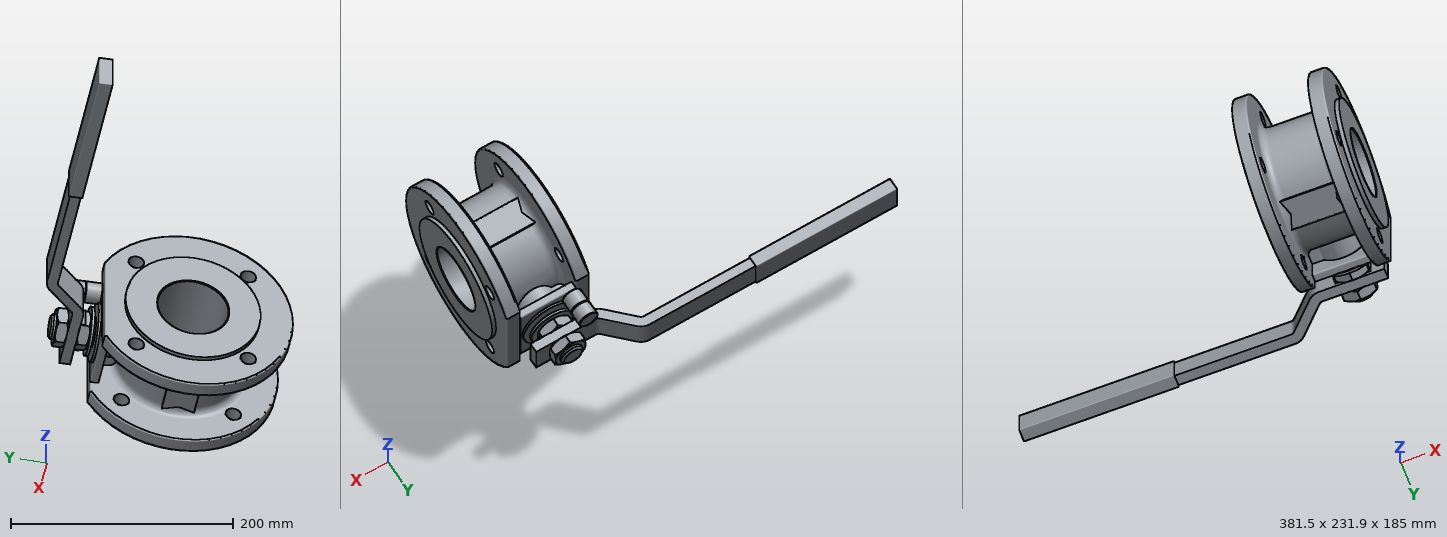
import cadquery as cq
import math


body_length = 96.0
bore_diameter = 65.0
bore_chamfer = 0.8
barrel_radius = 58.5
barrel_fillet = 7.2

flange_diameter = 185.0
flange_inner_face = 29.5
flange_thickness = 14.5
flange_edge_fillet = 1.5
flange_flat_height = 80.0
raised_face_diameter = 123.5
bolt_hole_diameter = 14.0
bolt_circle_diameter = 145.0
bolt_count = 4

pad_width = 29.8

mount_plate_thickness = 8.0
mount_plate_width = 68.5
mount_plate_fillet = 1.5
mount_web_thickness = 21.5
mount_neck_diameter = 41.2
mount_neck_fillet = 1.5

gland_diameter = 55.0
gland_top = 82.5
spindle_diameter = 27.5
washer_diameter = 45.0
washer_bottom = 85.0
washer_thickness = 2.5
nut_across_flats = 31.5
nut_chamfer_radial = 2.3
nut_chamfer_angle = 30.0
upper_nut_height = 10.3
lock_tab_thickness = 1.0
lock_tab_height = 5.5
stem_diameter = 23.0
stem_top = 122.5
stem_chamfer = 2.0

pin_offset_x = -24.8
pin_offset_z = 24.5
pin_diameter = 19.5
pin_joint_height = 95.5
pin_top = 109.5
pin_chamfer = 0.57

lever_width = 29.8
lever_thickness = 10.0
lever_low_bottom = 98.0
lever_high_bottom = 128.0
lever_right_end = 30.0
crank_corner_x = -69.5
crank_angle = 45.0
bend_inner_radius = 5.0
grip_wall = 1.35
grip_left_end = -333.5
grip_right_end = -184.0
grip_edge_fillet = 0.8

flange_outer_face = flange_inner_face + flange_thickness
washer_top = washer_bottom + washer_thickness
lever_low_top = lever_low_bottom + lever_thickness


def x_cylinder(diameter, start, length):
    return cq.Workplane("YZ").workplane(offset=start).circle(diameter / 2).extrude(length)


def stem_plane(height, x=0, z=0):
    """Plane facing +Y at the given height, with its local x along X."""
    return cq.Workplane(cq.Plane(origin=(x, height, z), xDir=(1, 0, 0), normal=(0, 1, 0)))


def stem_cylinder(diameter, bottom, top, x=0, z=0):
    return stem_plane(bottom, x, z).circle(diameter / 2).extrude(top - bottom)


def make_barrel():
    """Turned barrel that flares into both flanges."""
    flare_start = flange_inner_face - barrel_fillet
    flare_radius = barrel_radius + barrel_fillet
    drop = barrel_fillet * math.sin(math.radians(45))
    flare_mid = (flare_start + drop, flare_radius - drop)
    return (
        cq.Workplane("XY")
        .moveTo(-flange_inner_face, 0)
        .lineTo(-flange_inner_face, flare_radius)
        .threePointArc((-flare_mid[0], flare_mid[1]), (-flare_start, barrel_radius))
        .lineTo(flare_start, barrel_radius)
        .threePointArc(flare_mid, (flange_inner_face, flare_radius))
        .lineTo(flange_inner_face, 0)
        .close()
        .revolve(360, (0, 0, 0), (1, 0, 0))
    )


def make_flange():
    """Right-hand flange with its raised face and the flat on the stem side."""
    flange = x_cylinder(flange_diameter, flange_inner_face, flange_thickness)
    above_flat = cq.Workplane("XY").box(
        body_length, flange_diameter, flange_diameter, centered=(True, False, True)
    ).translate((flange_outer_face, flange_flat_height, 0))
    raised_face = x_cylinder(raised_face_diameter, flange_inner_face, body_length / 2 - flange_inner_face)
    return flange.cut(above_flat).faces("<X or >X").edges().fillet(flange_edge_fillet).union(raised_face)


def make_pads():
    return cq.Workplane("XY").box(2 * flange_inner_face, pad_width, 2 * barrel_radius)


def make_stem_mount():
    """Plate flush with the flange flats, carried by a web and a round neck."""
    span = 2 * flange_inner_face
    plate_bottom = flange_flat_height - mount_plate_thickness
    plate = stem_plane(plate_bottom).rect(span, mount_plate_width).extrude(mount_plate_thickness)
    plate = plate.edges("|X").fillet(mount_plate_fillet)
    web = stem_plane(0).rect(span, mount_web_thickness).extrude(plate_bottom)
    neck = stem_cylinder(mount_neck_diameter, 0, plate_bottom)
    web_and_neck = web.union(neck)
    neck_corners = cq.selectors.BoxSelector(
        (-mount_neck_diameter / 2, 0, -mount_web_thickness),
        (mount_neck_diameter / 2, plate_bottom, mount_web_thickness),
    )
    web_and_neck = web_and_neck.edges("|Y").edges(neck_corners).fillet(mount_neck_fillet)
    return plate.union(web_and_neck)


def make_nut(bottom, top):
    """Hexagonal nut with corners on Z and chamfered corners at both ends."""
    across_corners = nut_across_flats / math.cos(math.radians(30))
    height = top - bottom
    nut = stem_plane(bottom).transformed(rotate=(0, 0, 90)).polygon(6, across_corners).extrude(height)
    corner_radius = across_corners / 2
    end_radius = corner_radius - nut_chamfer_radial
    chamfer_height = nut_chamfer_radial * math.tan(math.radians(nut_chamfer_angle))
    chamfered_blank = (
        cq.Workplane("XY")
        .polyline([
            (0, bottom),
            (end_radius, bottom),
            (corner_radius, bottom + chamfer_height),
            (corner_radius, top - chamfer_height),
            (end_radius, top),
            (0, top),
        ])
        .close()
        .revolve(360, (0, 0, 0), (0, 1, 0))
    )
    return nut.intersect(chamfered_blank)


def make_lock_tabs():
    """Thin tabs lying on the two X-facing flats of the lower nut, just under the lever."""
    face_width = nut_across_flats * math.tan(math.radians(30))
    span = nut_across_flats + 2 * lock_tab_thickness
    return stem_plane(lever_low_bottom - lock_tab_height).rect(span, face_width).extrude(lock_tab_height)


def make_stem_stack():
    gland = stem_cylinder(gland_diameter, flange_flat_height, gland_top)
    spindle = stem_cylinder(spindle_diameter, gland_top, washer_bottom)
    washer = stem_cylinder(washer_diameter, washer_bottom, washer_top)
    lower_nut = make_nut(washer_top, lever_low_bottom)
    upper_nut = make_nut(lever_low_top, lever_low_top + upper_nut_height)
    stem = stem_cylinder(stem_diameter, gland_top, stem_top).faces(">Y").chamfer(stem_chamfer)
    stack = gland.union(spindle).union(washer).union(stem)
    return stack.union(lower_nut).union(make_lock_tabs()).union(upper_nut)


def make_stop_pin():
    """Two stacked cylinders with broken edges."""
    lower = stem_cylinder(pin_diameter, flange_flat_height, pin_joint_height, pin_offset_x, pin_offset_z)
    upper = stem_cylinder(pin_diameter, pin_joint_height, pin_top, pin_offset_x, pin_offset_z)
    return lower.edges().chamfer(pin_chamfer).union(upper.edges().chamfer(pin_chamfer))


def make_lever():
    """Flat bar cranked away from the flanges, with a sleeve grip on its end."""
    rise = lever_high_bottom - lever_low_bottom
    low_corner_x = crank_corner_x + rise / math.tan(math.radians(crank_angle))
    miter = lever_thickness * math.tan(math.radians(crank_angle / 2))
    lever_high_top = lever_high_bottom + lever_thickness
    bar_left_end = grip_left_end + grip_wall
    bar = (
        cq.Workplane("XY")
        .workplane(offset=-lever_width / 2)
        .polyline([
            (bar_left_end, lever_high_bottom),
            (crank_corner_x, lever_high_bottom),
            (low_corner_x, lever_low_bottom),
            (lever_right_end, lever_low_bottom),
            (lever_right_end, lever_low_top),
            (low_corner_x + miter, lever_low_top),
            (crank_corner_x + miter, lever_high_top),
            (bar_left_end, lever_high_top),
        ])
        .close()
        .extrude(lever_width)
    )

    def bend_edge(x, y):
        return cq.selectors.NearestToPointSelector((x, y, 0))

    bend_outer_radius = bend_inner_radius + lever_thickness
    bar = bar.edges(bend_edge(crank_corner_x, lever_high_bottom)).fillet(bend_inner_radius)
    bar = bar.edges(bend_edge(low_corner_x + miter, lever_low_top)).fillet(bend_inner_radius)
    bar = bar.edges(bend_edge(crank_corner_x + miter, lever_high_top)).fillet(bend_outer_radius)
    bar = bar.edges(bend_edge(low_corner_x, lever_low_bottom)).fillet(bend_outer_radius)

    grip_length = grip_right_end - grip_left_end
    grip = cq.Workplane("XY").box(
        grip_length, lever_thickness + 2 * grip_wall, lever_width + 2 * grip_wall
    ).edges().fillet(grip_edge_fillet).translate((
        grip_left_end + grip_length / 2,
        lever_high_bottom + lever_thickness / 2,
        0,
    ))
    return bar.union(grip)


def cut_bore(part):
    """Through bore with a broken edge at both ends."""
    half = body_length / 2
    radius = bore_diameter / 2
    mouth = radius + bore_chamfer
    bore = (
        cq.Workplane("XY")
        .polyline([
            (-half, 0),
            (-half, mouth),
            (-half + bore_chamfer, radius),
            (half - bore_chamfer, radius),
            (half, mouth),
            (half, 0),
        ])
        .close()
        .revolve(360, (0, 0, 0), (1, 0, 0))
    )
    return part.cut(bore)


def cut_bolt_holes(part):
    """Holes through both flanges, straddling the Y and Z axes."""
    holes = (
        cq.Workplane("YZ")
        .workplane(offset=-body_length / 2)
        .polarArray(bolt_circle_diameter / 2, 180 / bolt_count, 360, bolt_count)
        .circle(bolt_hole_diameter / 2)
        .extrude(body_length)
    )
    return part.cut(holes)


right_flange = make_flange()
left_flange = right_flange.mirror("YZ")

body = make_barrel().union(right_flange).union(left_flange)
body = body.union(make_pads()).union(make_stem_mount())
body = cut_bolt_holes(cut_bore(body))

result = body.union(make_stem_stack()).union(make_stop_pin()).union(make_lever())